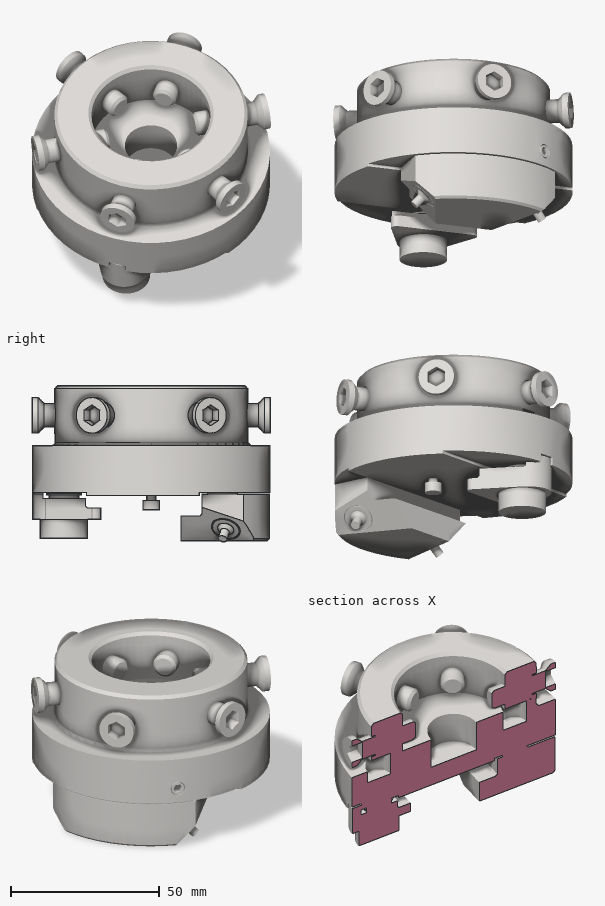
import cadquery as cq
import math

FLANGE_R = 40.0
FLANGE_TOP = 16.8
RING_R = 32.5
RING_TOP = 37.0
BORE_R = 20.0
BORE_FLOOR = 20.0
CENTRE_HOLE_R = 8.8
CENTRE_HOLE_FLOOR = 8.0
EDGE_BREAK = 1.0

SEAT_Z = 1.0
REAR_SEAT_Y = 16.2
FRONT_SEAT_Y = -21.8

BOLT_CORE_R = 10.0 / 2
BOLT_HOLE_R = 4.5
BOLT_HOLE_BOTTOM = 12.0
BOLT_HOLE_TOP = 20.8
FRONT_BOLT_Y = -29.4
REAR_BOLT_Y = 23.9

CLAMP_COUNT = 6
CLAMP_ANGLES = [90 + i * 360 / CLAMP_COUNT for i in range(CLAMP_COUNT)]
CLAMP_Z = 27.0
CLAMP_TIP = 14.9
CLAMP_R = 4.0
CLAMP_HEAD_R = 6.0
CLAMP_RIM = 2.0
CLAMP_CONE = CLAMP_HEAD_R - CLAMP_R
CLAMP_TIP_BREAK = 1.0
CLAMP_RELIEF_R = 4.3
CLAMP_RELIEF_DEPTH = 1.6
CLAMP_HEX = 6.0
CLAMP_HEX_DEPTH = 4.0

SET_ANGLE = 120.0
SET_Z = 6.1
SET_R = 2.5
SET_CORE_R = 2.1
SET_HEX = 2.7
SET_HEX_DEPTH = 2.8
SET_GROOVE_DEPTH = 1.0

CAP_X = -11.0
CAP_NECK_R = 1.5
CAP_NECK = 1.6
CAP_HEAD_R = 2.8
CAP_HEAD = 3.2

BLOCK_R = 39.8
BLOCK_HALF_W = 25.0
BLOCK_TOP = 0.5
BLOCK_BOTTOM = -15.2
BLOCK_FRONT_Y = 9.9
BLOCK_STEP_Y = 17.0
BLOCK_STEP_Z = -6.8
STEP_BREAK = 0.6
BLOCK_RIM_BREAK = 0.8

SLOPE_CORNER_X = 10.1
SLOPE_AZIMUTH = 20.0
SLOPE_TILT = 44.0
NOZZLE_X = 19.9
NOZZLE_Y = 25.0
NOZZLE_RING_R = 5.0
NOZZLE_PLUG_R = 4.6
NOZZLE_GROOVE_DEPTH = 0.5
NOZZLE_BASE_R = 2.8
NOZZLE_CONE = 1.2
NOZZLE_R = 1.5
NOZZLE_LENGTH = 4.6

PLATE_BOTTOM = -8.0
PLATE_TOP = -1.0
PLATE_STEP_Z = -4.2
PLATE_STEP_Y = -22.1
PLATE_END_Y = -17.0
PLATE_TAPER = 27.0
PLATE_CORNER_R = 2.0
NOSE_R = 8.0
NOSE_Y = NOSE_R - BLOCK_R
NOSE_TOP = 0.5
NOSE_STEP_Y = -36.3
KEY_W = 5.4
KEY_TOP = 3.2
KEY_SLOT_W = 6.1
KEY_SLOT_TOP = 3.7
BOLT_HEAD_R = 8.0
BOLT_HEAD_BOTTOM = -14.4
BOLT_THREAD_R = 5.9
THREAD_BOTTOM = 0.2
THREAD_TOP = 0.6

BIG = 3 * FLANGE_R


def cylinder(radius, z_low, z_high, x=0.0, y=0.0):
    return cq.Workplane("XY", origin=(x, y, z_low)).circle(radius).extrude(z_high - z_low)


def block(x_size, y_low, y_high, z_low, z_high):
    """Box centred on X."""
    size = (x_size, y_high - y_low, z_high - z_low)
    return cq.Workplane("XY", origin=(0, y_low, z_low)).box(*size, centered=(True, False, False))


def hexagon(plane, across_flats, depth):
    """Hexagonal socket cutter sunk below the given plane."""
    across_corners = across_flats / math.cos(math.pi / 6)
    return cq.Workplane(plane).polygon(6, across_corners).extrude(-depth)


def radial_plane(angle, radius, z, x_dir):
    """Plane facing outward from the Z axis."""
    a = math.radians(angle)
    normal = (math.cos(a), math.sin(a), 0)
    return cq.Plane(origin=(radius * normal[0], radius * normal[1], z), xDir=x_dir, normal=normal)


def make_body():
    profile = [
        (0, 0),
        (FLANGE_R, 0),
        (FLANGE_R, FLANGE_TOP),
        (RING_R, FLANGE_TOP),
        (RING_R, RING_TOP - EDGE_BREAK),
        (RING_R - EDGE_BREAK, RING_TOP),
        (BORE_R + EDGE_BREAK, RING_TOP),
        (BORE_R, RING_TOP - EDGE_BREAK),
        (BORE_R, BORE_FLOOR),
        (CENTRE_HOLE_R, BORE_FLOOR),
        (CENTRE_HOLE_R, CENTRE_HOLE_FLOOR),
        (0, CENTRE_HOLE_FLOOR),
    ]
    body = cq.Workplane("XZ").polyline(profile).close().revolve(360, (0, 0, 0), (0, 1, 0))
    reach = RING_R + 0.8
    foot = cq.selectors.BoxSelector(
        (-reach, -reach, FLANGE_TOP - 0.8),
        (reach, reach, FLANGE_TOP + 0.8),
        boundingbox=True,
    )
    body = body.edges(foot).fillet(EDGE_BREAK)
    body = body.cut(block(BIG, REAR_SEAT_Y, BIG, 0, SEAT_Z))
    body = body.cut(block(BIG, -BIG, FRONT_SEAT_Y, 0, SEAT_Z))
    body = body.cut(block(KEY_SLOT_W, -BIG, NOSE_STEP_Y, 0, KEY_SLOT_TOP))
    for y in (FRONT_BOLT_Y, REAR_BOLT_Y):
        body = body.cut(cylinder(BOLT_HOLE_R, BOLT_HOLE_BOTTOM, BOLT_HOLE_TOP, y=y))
    for angle in CLAMP_ANGLES:
        wall = radial_plane(angle, RING_R, CLAMP_Z, (0, 0, 1))
        body = body.cut(cq.Workplane(wall).circle(CLAMP_RELIEF_R).extrude(-CLAMP_RELIEF_DEPTH))
    return body


def make_clamp_screw(angle):
    profile = [
        (CLAMP_TIP, 0),
        (CLAMP_TIP, CLAMP_R - CLAMP_TIP_BREAK),
        (CLAMP_TIP + CLAMP_TIP_BREAK, CLAMP_R),
        (FLANGE_R - CLAMP_RIM - CLAMP_CONE, CLAMP_R),
        (FLANGE_R - CLAMP_RIM, CLAMP_HEAD_R),
        (FLANGE_R, CLAMP_HEAD_R),
        (FLANGE_R, 0),
    ]
    screw = cq.Workplane("XY").polyline(profile).close().revolve(360, (0, 0, 0), (1, 0, 0))
    screw = screw.translate((0, 0, CLAMP_Z))
    socket_plane = radial_plane(0, FLANGE_R, CLAMP_Z, (0, 0, 1))
    screw = screw.cut(hexagon(socket_plane, CLAMP_HEX, CLAMP_HEX_DEPTH))
    return screw.rotate((0, 0, 0), (0, 0, 1), angle)


def cut_set_screw(body):
    a = math.radians(SET_ANGLE)
    plane = radial_plane(SET_ANGLE, FLANGE_R, SET_Z, (-math.sin(a), math.cos(a), 0))
    groove = cq.Workplane(plane).circle(SET_R).circle(SET_CORE_R).extrude(-SET_GROOVE_DEPTH)
    return body.cut(groove).cut(hexagon(plane, SET_HEX, SET_HEX_DEPTH))


def make_cap_screw():
    neck = cylinder(CAP_NECK_R, -CAP_NECK, SEAT_Z, x=CAP_X)
    return neck.union(cylinder(CAP_HEAD_R, -CAP_NECK - CAP_HEAD, -CAP_NECK, x=CAP_X))


def slope_plane():
    """Sloped face on the -X corner, centred on its nozzle and facing out and down."""
    azimuth = math.radians(SLOPE_AZIMUTH)
    tilt = math.radians(SLOPE_TILT)
    nx = -math.sin(tilt) * math.cos(azimuth)
    ny = -math.sin(tilt) * math.sin(azimuth)
    nz = -math.cos(tilt)
    run = nx * (SLOPE_CORNER_X - NOZZLE_X) + ny * (NOZZLE_Y - BLOCK_FRONT_Y)
    z = BLOCK_BOTTOM - run / nz
    return cq.Plane(origin=(-NOZZLE_X, NOZZLE_Y, z), xDir=(ny, -nx, 0), normal=(nx, ny, nz))


def make_rear_block():
    profile = [
        (BLOCK_FRONT_Y, BLOCK_BOTTOM),
        (FLANGE_R, BLOCK_BOTTOM),
        (FLANGE_R, BLOCK_TOP),
        (BLOCK_STEP_Y, BLOCK_TOP),
        (BLOCK_STEP_Y, BLOCK_STEP_Z + STEP_BREAK),
        (BLOCK_STEP_Y - STEP_BREAK, BLOCK_STEP_Z),
        (BLOCK_FRONT_Y, BLOCK_STEP_Z),
    ]
    rear = cq.Workplane("YZ").polyline(profile).close().extrude(BLOCK_HALF_W, both=True)
    envelope = cylinder(BLOCK_R, BLOCK_BOTTOM, BLOCK_TOP).faces("<Z").chamfer(BLOCK_RIM_BREAK)
    rear = rear.intersect(envelope)

    slope = slope_plane()
    waste = cq.Workplane(slope).rect(BIG, BIG).extrude(BIG)
    groove = cq.Workplane(slope).circle(NOZZLE_RING_R).circle(NOZZLE_PLUG_R).extrude(-NOZZLE_GROOVE_DEPTH)
    nozzle_profile = [
        (0, 0),
        (NOZZLE_BASE_R, 0),
        (NOZZLE_R, NOZZLE_CONE),
        (NOZZLE_R, NOZZLE_LENGTH),
        (0, NOZZLE_LENGTH),
    ]
    nozzle = cq.Workplane("XZ").polyline(nozzle_profile).close().revolve(360, (0, 0, 0), (0, 1, 0))
    nozzle = cq.Workplane(nozzle.val().moved(cq.Location(slope)))
    for cutter in (waste, groove):
        rear = rear.cut(cutter).cut(cutter.mirror("YZ"))
    rear = rear.union(nozzle).union(nozzle.mirror("YZ"))
    return rear.union(cylinder(BOLT_CORE_R, BLOCK_TOP, SEAT_Z, y=REAR_BOLT_Y))


def make_front_clamp():
    taper = math.radians(PLATE_TAPER)
    tangent_x = NOSE_R * math.cos(taper)
    tangent_y = NOSE_Y - NOSE_R * math.sin(taper)
    end_x = tangent_x + (PLATE_END_Y - tangent_y) * math.tan(taper)
    outline = (
        cq.Workplane("XY", origin=(0, 0, PLATE_BOTTOM))
        .moveTo(end_x, PLATE_END_Y)
        .lineTo(tangent_x, tangent_y)
        .threePointArc((0, NOSE_Y - NOSE_R), (-tangent_x, tangent_y))
        .lineTo(-end_x, PLATE_END_Y)
        .close()
    )
    clamp = outline.extrude(KEY_TOP - PLATE_BOTTOM).edges("|Z and >Y").fillet(PLATE_CORNER_R)

    profile = [
        (-BIG, PLATE_BOTTOM),
        (PLATE_END_Y, PLATE_BOTTOM),
        (PLATE_END_Y, PLATE_STEP_Z),
        (PLATE_STEP_Y + STEP_BREAK, PLATE_STEP_Z),
        (PLATE_STEP_Y, PLATE_STEP_Z + STEP_BREAK),
        (PLATE_STEP_Y, PLATE_TOP),
        (NOSE_STEP_Y, PLATE_TOP),
        (NOSE_STEP_Y, NOSE_TOP),
        (-BIG, NOSE_TOP),
    ]
    steps = cq.Workplane("YZ").polyline(profile).close().extrude(BIG, both=True)
    steps = steps.union(block(KEY_W, -BIG, NOSE_STEP_Y, PLATE_BOTTOM, KEY_TOP))
    clamp = clamp.intersect(steps)

    clamp = clamp.union(cylinder(BOLT_HEAD_R, BOLT_HEAD_BOTTOM, PLATE_BOTTOM, y=FRONT_BOLT_Y))
    clamp = clamp.union(cylinder(BOLT_CORE_R, PLATE_TOP, SEAT_Z, y=FRONT_BOLT_Y))
    return clamp.union(cylinder(BOLT_THREAD_R, THREAD_BOTTOM, THREAD_TOP, y=FRONT_BOLT_Y))


result = cut_set_screw(make_body())
for clamp_angle in CLAMP_ANGLES:
    result = result.union(make_clamp_screw(clamp_angle))
result = result.union(make_cap_screw()).union(make_rear_block()).union(make_front_clamp())